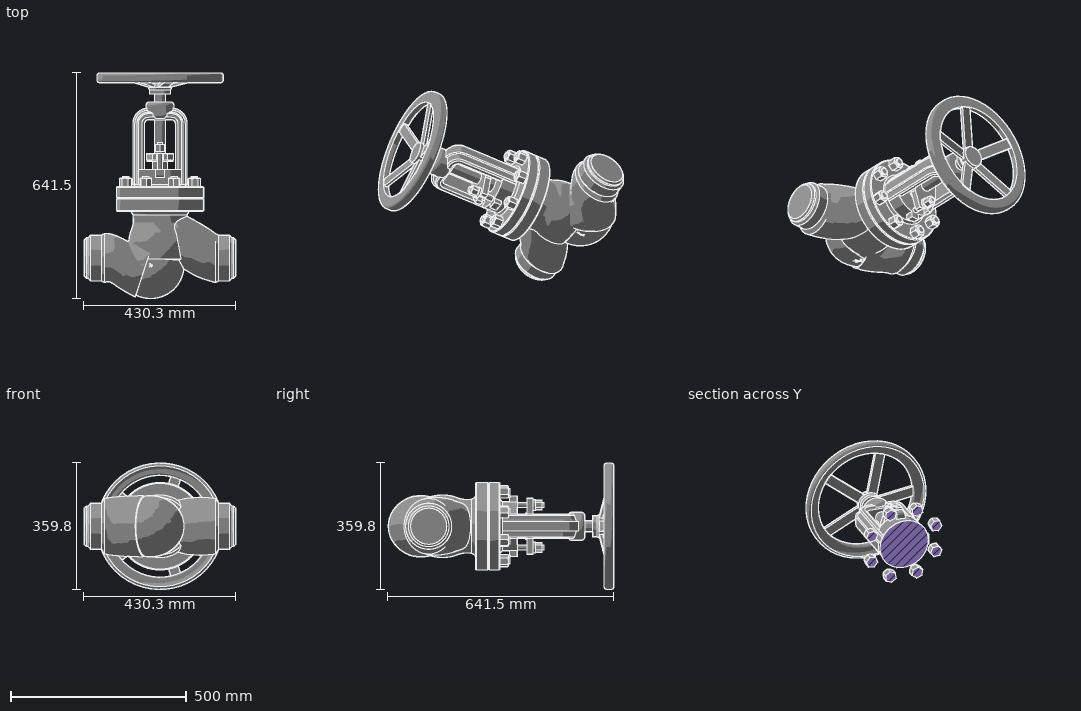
import cadquery as cq
import math


wheel_top = 526.0
wheel_bottom = 497.5
hub_bottom = 465.5
boss_top = 444.0
boss_bottom = 396.0
arch_corner = 381.5
gland_top = 296.0
neck_top = 252.0
flange_top = 202.5
flange_split = 170.0
flange_bottom = 133.0

pipe_end = 215.15
pipe_inner = 167.0
pipe_radius = 65.5
branch_start = 157.0

flange_radius = 124.5
edge_chamfer = 2.5
flange_gap = 2.5
gap_depth = 4.0
bowl_centre = (-26.0, -20.5)
bowl_radius = 95.0
bowl_half_depth = 87.0
bowl_rim = -2.5
duct_end = (-43.0, -27.0)
duct_end_tilt = -18

bolt_count = 8
bolt_circle = 105.5
bolt_nut_corners = 36.0
bolt_nut_height = 24.5
bolt_nut_chamfer = 2.5
bolt_radius = 9.5
bolt_tip = 4.5

neck_radius = 70.0
neck_foot_radius = 77.0
neck_foot_height = 6.5
stem_radius = 16.0
boss_radius = 40.1
boss_rounding = 11.0
yoke_outer = 77.3
yoke_inner = 43.5
yoke_half_depth = 34.5
yoke_rib_half_depth = 14.0
yoke_foot = flange_top + neck_foot_height
yoke_bend_radius = 44.0

gland_radius = 22.0
gland_hub_thickness = 22.0
gland_plate_thickness = 17.0
gland_reach = 79.5
gland_end_half_width = 21.0
gland_flank_start = 29.0
gland_hub_radius = 37.0
gland_half_width = 38.5
gland_slot_width = 18.5
gland_bolt_offset = 60.0
gland_bolt_radius = 8.0
gland_washer_radius = 15.7
gland_washer_height = 6.5
gland_nut_corners = 28.0
gland_nut_height = 19.0
gland_bolt_tip = 6.0
lug_reach = 86.5
lug_half_width = 12.0
lug_height = 23.0
lug_rounding = 8.0

wheel_radius = 179.9
rim_inner_radius = 144.0
rim_rounding = 8.5
rim_lip_rounding = 7.0
rim_lip_radius = 158.5
rim_lip_height = 20.5
spoke_count = 5
spoke_width = 29.5
spoke_thickness = 9.5
spoke_slope = 0.25
hub_radius = 30.0
hub_flare_radius = 33.5
hub_flare_start = 478.0
hub_top = 503.5


def rod(radius, bottom, top, x=0.0, z=0.0):
    """Round bar parallel to the stem."""
    plane = cq.Plane(origin=(x, bottom, z), xDir=(1, 0, 0), normal=(0, 1, 0))
    return cq.Workplane(plane).circle(radius).extrude(top - bottom)


def hex_nut(corners, bottom, height):
    """Hexagonal nut around the stem axis, with two corners on the X axis."""
    plane = cq.Plane(origin=(0, bottom, 0), xDir=(1, 0, 0), normal=(0, 1, 0))
    return cq.Workplane(plane).polygon(6, corners).extrude(height)


def turned(outline):
    """Solid of revolution about the stem from a closed (radius, height) outline."""
    return outline.close().revolve(360, (0, 0, 0), (0, 1, 0))


def both_sides(shape, plane):
    return shape.union(shape.mirror(plane))


def oval_loft(sections):
    """Loft through ovals given as (x, y, tilt, half height, half depth)."""
    wires = []
    for x, y, tilt, half_height, half_depth in sections:
        angle = math.radians(tilt)
        across = cq.Vector(-math.sin(angle), math.cos(angle), 0)
        along = cq.Vector(math.cos(angle), math.sin(angle), 0)
        if half_height > half_depth:
            wire = cq.Wire.makeEllipse(
                half_height, half_depth, cq.Vector(x, y, 0), along, across)
        else:
            wire = cq.Wire.makeEllipse(
                half_depth, half_height, cq.Vector(x, y, 0), along, cq.Vector(0, 0, 1))
        wires.append(wire)
    return cq.Workplane(cq.Solid.makeLoft(wires))


def pipe_stub():
    """Left pipe end with its welding bevel, widening to the oval of the branch."""
    stub = (
        cq.Workplane("XY")
        .moveTo(-pipe_end, 0)
        .lineTo(-pipe_end, 51.0)
        .lineTo(-pipe_end + 6.0, 58.0)
        .lineTo(-pipe_end + 11.0, 58.0)
        .lineTo(-pipe_end + 18.0, pipe_radius)
        .lineTo(-pipe_inner, pipe_radius)
        .lineTo(-pipe_inner, 0)
        .close()
        .revolve(360, (0, 0, 0), (1, 0, 0))
    )
    shoulder = oval_loft([
        (-pipe_inner, 0, 0, pipe_radius - 0.05, pipe_radius),
        (-branch_start, 0, 0, 70.0, 79.0),
    ])
    return stub.union(shoulder)


def inlet_branch():
    """Oval duct that swings down into the bowl under the seat."""
    duct = oval_loft([
        (-branch_start, 0, 0, 70.0, 79.0),
        (-127.0, -5.0, -15, 65.0, 83.5),
        (-67.5, -33.5, -34, 70.0, 86.5),
        (*duct_end, duct_end_tilt, 88.5, 86.5),
    ])
    x, y = bowl_centre
    bowl = (
        cq.Workplane(cq.Plane(origin=(x, y, 0), xDir=(1, 0, 0), normal=(0, -1, 0)))
        .moveTo(0, -bowl_half_depth)
        .ellipseArc(bowl_radius, bowl_half_depth, -90, 90, startAtCurrent=True)
        .close()
        .revolve(360, (0, 0, 0), (0, 1, 0))
    )
    upstream = (
        cq.Workplane("XY")
        .box(2 * bowl_radius, 4 * bowl_radius, 4 * bowl_radius)
        .translate((-bowl_radius, 0, 0))
        .rotate((0, 0, 0), (0, 0, 1), duct_end_tilt)
        .translate((*duct_end, 0))
    )
    above_rim = (
        cq.Workplane("XY")
        .box(4 * bowl_radius, bowl_radius, 4 * bowl_radius)
        .translate((0, bowl_rim + bowl_radius / 2, 0))
    )
    return duct.union(bowl.cut(upstream).cut(above_rim))


def outlet_branch():
    """Oval duct that climbs from the right pipe end into the body neck."""
    return oval_loft([
        (branch_start, 0, 0, 70.0, 79.0),
        (92.0, 33.5, -25, 68.0, 81.5),
        (35.0, 84.0, -32, 50.0, 67.5),
    ])


def body_chamber():
    """Waisted neck under the flange that swells to a round chamber."""
    return turned(
        cq.Workplane("XY")
        .moveTo(0, flange_bottom + 6.5)
        .lineTo(84.5, flange_bottom + 6.5)
        .lineTo(84.5, flange_bottom)
        .threePointArc((80.0, 127.5), (77.0, 122.0))
        .lineTo(76.0, 101.0)
        .threePointArc((79.0, 88.5), (84.5, 72.5))
        .threePointArc((89.0, 42.0), (81.5, -2.5))
        .lineTo(0, -25.5)
    )


def flanges():
    """Body and bonnet flanges with a narrow joint between them."""
    inner = flange_radius - edge_chamfer
    outline = cq.Workplane("XY").moveTo(0, flange_bottom)
    outline = outline.lineTo(inner, flange_bottom)
    outline = outline.lineTo(flange_radius, flange_bottom + edge_chamfer)
    outline = outline.lineTo(flange_radius, flange_split - flange_gap)
    outline = outline.lineTo(flange_radius - gap_depth, flange_split)
    outline = outline.lineTo(flange_radius, flange_split + flange_gap)
    outline = outline.lineTo(flange_radius, flange_top - edge_chamfer)
    outline = outline.lineTo(inner, flange_top)
    return turned(outline.lineTo(0, flange_top))


def flange_bolts():
    """Ring of studs and nuts, each nut with a flat facing outward."""
    nut_top = flange_top + bolt_nut_height
    nut = hex_nut(bolt_nut_corners, flange_top, bolt_nut_height).rotate((0, 0, 0), (0, 1, 0), 30)
    cap = rod(bolt_nut_corners / 2, flange_top, nut_top).faces(">Y").chamfer(bolt_nut_chamfer)
    nut = nut.intersect(cap).union(rod(bolt_radius, flange_top, nut_top + bolt_tip))
    nut = nut.translate((bolt_circle, 0, 0))
    pitch = 360 / bolt_count
    ring = cq.Workplane("XY")
    for i in range(bolt_count):
        ring = ring.add(nut.rotate((0, 0, 0), (0, 1, 0), (i + 0.5) * pitch))
    return ring.combine()


def bonnet_neck():
    """Short barrel on the bonnet with an eye lug at front and back."""
    barrel = turned(
        cq.Workplane("XY")
        .moveTo(0, flange_top)
        .lineTo(neck_foot_radius, flange_top)
        .lineTo(neck_radius, flange_top + neck_foot_height)
        .lineTo(neck_radius, neck_top)
        .lineTo(0, neck_top)
    )
    lugs = (
        cq.Workplane("XY")
        .box(2 * lug_half_width, lug_height, 2 * lug_reach)
        .edges("|X and <Y")
        .fillet(lug_rounding)
        .translate((0, neck_top - lug_height / 2, 0))
    )
    return barrel.union(lugs)


def yoke():
    """Arch of ribbed section standing on the bonnet, with the stem nut boss on top."""
    half_section = [
        (yoke_outer, yoke_rib_half_depth),
        (72.0, yoke_rib_half_depth),
        (69.0, 18.5),
        (65.5, 30.0),
        (61.5, yoke_half_depth),
        (51.0, yoke_half_depth),
        (yoke_inner, 27.0),
    ]
    section = half_section + [(x, -z) for x, z in reversed(half_section)]
    bend_centre = yoke_outer - yoke_bend_radius
    arch_top = arch_corner + yoke_bend_radius
    diagonal = yoke_bend_radius * math.sqrt(0.5)
    path = (
        cq.Workplane("XY")
        .moveTo(yoke_outer, yoke_foot)
        .lineTo(yoke_outer, arch_corner)
        .threePointArc((bend_centre + diagonal, arch_corner + diagonal), (bend_centre, arch_top))
        .lineTo(0, arch_top)
    )
    plane = cq.Plane(origin=(0, yoke_foot, 0), xDir=(1, 0, 0), normal=(0, 1, 0))
    half_arch = cq.Workplane(plane).polyline(section).close().sweep(path)
    boss = rod(boss_radius, boss_bottom, boss_top).edges().fillet(boss_rounding)
    return both_sides(half_arch, "YZ").union(boss)


def gland():
    """Packing gland: sleeve, slotted cross plate and two tie bolts."""
    plate_plane = cq.Plane(origin=(0, gland_top, 0), xDir=(1, 0, 0), normal=(0, -1, 0))
    corners = [
        (gland_half_width, gland_flank_start),
        (gland_end_half_width, gland_reach),
        (-gland_end_half_width, gland_reach),
        (-gland_half_width, gland_flank_start),
    ]
    corners += [(-x, -z) for x, z in corners]
    plate = cq.Workplane(plate_plane).polyline(corners).close().extrude(gland_plate_thickness)
    hub = rod(gland_hub_radius, gland_top - gland_hub_thickness, gland_top)
    slots = (
        cq.Workplane(plate_plane)
        .pushPoints([(0, gland_reach), (0, -gland_reach)])
        .rect(gland_slot_width, 2 * (gland_reach - gland_bolt_offset))
        .extrude(gland_plate_thickness)
    )
    nut_bottom = gland_top + gland_washer_height
    nut_top = nut_bottom + gland_nut_height
    bolt = (
        rod(gland_bolt_radius, neck_top - lug_height / 2, nut_top + gland_bolt_tip)
        .union(rod(gland_washer_radius, gland_top, nut_bottom))
        .union(hex_nut(gland_nut_corners, nut_bottom, gland_nut_height).rotate((0, 0, 0), (0, 1, 0), 90))
        .translate((0, 0, gland_bolt_offset))
    )
    sleeve = rod(gland_radius, neck_top, gland_top)
    return plate.cut(slots).union(hub).union(sleeve).union(both_sides(bolt, "XY"))


def hand_wheel():
    """Rim with a rounded bead and inner lip, dished spokes and a flared hub."""
    lip_bottom = wheel_top - rim_lip_height
    bead_crest = wheel_radius - rim_rounding
    rim = turned(
        cq.Workplane("XY")
        .moveTo(rim_inner_radius, wheel_top)
        .lineTo(bead_crest, wheel_top)
        .radiusArc((wheel_radius, wheel_top - rim_rounding), rim_rounding)
        .lineTo(wheel_radius, wheel_bottom + rim_rounding)
        .radiusArc((bead_crest, wheel_bottom), rim_rounding)
        .threePointArc((bead_crest - 6.0, wheel_bottom + 5.0), (rim_lip_radius, lip_bottom))
        .lineTo(rim_inner_radius + rim_lip_rounding, lip_bottom)
        .radiusArc((rim_inner_radius, lip_bottom + rim_lip_rounding), rim_lip_rounding)
    )
    hub = turned(
        cq.Workplane("XY")
        .moveTo(0, hub_bottom)
        .lineTo(hub_radius, hub_bottom)
        .lineTo(hub_radius, hub_flare_start)
        .lineTo(hub_flare_radius, hub_flare_start + 6.5)
        .lineTo(hub_radius, hub_top)
        .lineTo(0, hub_top)
    )
    spoke_end = rim_inner_radius + 3.0
    end_top = wheel_top - 2.0
    root_top = end_top - spoke_slope * spoke_end
    spoke = (
        cq.Workplane("XY")
        .moveTo(0, root_top)
        .lineTo(spoke_end, end_top)
        .lineTo(spoke_end, end_top - spoke_thickness)
        .lineTo(0, root_top - spoke_thickness)
        .close()
        .extrude(spoke_width / 2, both=True)
    )
    wheel = rim.union(hub)
    for i in range(spoke_count):
        wheel = wheel.union(spoke.rotate((0, 0, 0), (0, 1, 0), i * 360 / spoke_count))
    return wheel


pipe_ends = both_sides(pipe_stub(), "YZ")
stem = rod(stem_radius, flange_top, hub_top)
result = body_chamber()
for piece in (inlet_branch(), outlet_branch(), pipe_ends, flanges(), flange_bolts(),
              bonnet_neck(), yoke(), gland(), stem, hand_wheel()):
    result = result.union(piece)